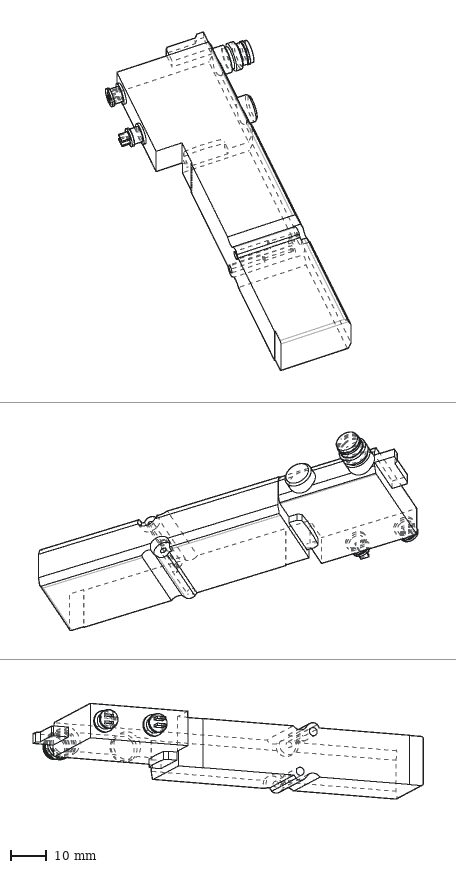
import cadquery as cq
import math


block_length = 29.1
block_height = 9.8
block_top = block_height / 2
block_back = 28.4
block_bevel_depth = 0.8
block_bevel_height = 2.2
block_edge_ease = 0.35

body_start = 29.4
body_end = 102.5
body_height = 14.0
body_bottom = block_top - body_height
body_mid = block_top - body_height / 2
body_front = 7.75
body_back = 28.8
body_bevel_depth = 1.0
body_bevel_height = 2.6
body_edge_ease = 0.8
edge_ease_drop = 0.1
body_end_round = 0.7
pad_start = 36.6
pad_end = 98.25
pad_front = 7.5

overall_height = 16.7
boss_radius = 1.95
boss_rise = overall_height / 2 - boss_radius
boss_offset = 1.95
boss_mid_x = 67.55
groove_radius = 2.5
groove_depth = 1.0
boss_flank_angle = math.radians(142)
boss_heel_angle = math.radians(50)
groove_flank_angle = math.radians(-59)
screw_rise = 5.78
screw_hole_diameter = 1.6
screw_bore_diameter = 2.3
screw_bore_depth = 10.0
head_seat_diameter = 5.78
head_seat_y = 26.1

plug_positions = [4.05, 18.75]
pin_plug = plug_positions[1]
socket_plug = plug_positions[0]
plug_flange_diameter = 6.1
plug_flange_end = 0.7
plug_neck_diameter = 4.5
plug_rim_diameter = 5.3
plug_rim_start = 3.3
plug_rim_end = 4.0
blade_width = 2.5
blade_thickness = 0.65
blade_offset = 1.0
blade_tip = 6.5
slot_depth = 2.5
rear_connector_x = 4.05
button_x = 22.1
button_diameter = 8.0
button_top_diameter = 6.9
button_back = 31.8
button_chamfer_height = 0.6
embed = 2.0

tab_reach = 6.0
tab_web_reach = 4.95
tab_front = 16.6
tab_slope_start = 25.5
tab_slope_end = 26.4
tab_thickness = 2.8
tab_corner = 0.5

latch_left = 25.4
latch_shoulder = 26.9
latch_end_front = 9.1
latch_end_back = 21.4
latch_nose_inset = 0.65
latch_nose_bulge = 0.3
latch_bottom = -7.2


def box(x0, x1, y0, y1, z0, z1):
    return cq.Workplane("XY").box(x1 - x0, y1 - y0, z1 - z0, centered=False).translate((x0, y0, z0))


def beveled_bar(x0, x1, front, back, bottom, top, bevel_depth, bevel_height, edge_ease):
    """Bar along X whose rear face slopes inward at its top and bottom, with slightly eased edges."""
    bevel_start = back - bevel_depth
    outline = [
        (front, bottom),
        (bevel_start - edge_ease, bottom),
        (bevel_start, bottom + edge_ease_drop),
        (back, bottom + bevel_height),
        (back, top - bevel_height),
        (bevel_start, top - edge_ease_drop),
        (bevel_start - edge_ease, top),
        (front, top),
    ]
    return cq.Workplane("YZ").workplane(offset=x0).polyline(outline).close().extrude(x1 - x0)


def turned(x, y_start, direction, profile):
    """Solid of revolution about a Y axis at (x, 0); profile lists (radius, distance along Y)."""
    outline = [(0, profile[0][1])] + profile + [(0, profile[-1][1])]
    placed = [(x + radius, y_start + direction * distance) for radius, distance in outline]
    return cq.Workplane("XY").polyline(placed).close().revolve(360, (x, 0, 0), (x, 1, 0))


def cylinder_y(x, z, diameter, y0, y1):
    return cq.Workplane("XZ", origin=(x, y0, z)).circle(diameter / 2).extrude(y0 - y1)


def body_outline():
    """XZ outline of the body; the lower half is the upper half turned by 180 degrees."""
    boss_x = boss_mid_x + boss_offset
    boss_z = body_mid + boss_rise
    groove_x = boss_mid_x - boss_offset
    groove_z = block_top - groove_depth + groove_radius
    groove_half_width = math.sqrt(groove_radius**2 - (groove_z - block_top) ** 2)
    boss_half_width = math.sqrt(boss_radius**2 - (block_top - boss_z) ** 2)

    def on_boss(angle):
        return (boss_x + boss_radius * math.cos(angle), boss_z + boss_radius * math.sin(angle))

    def on_groove(angle):
        return (groove_x + groove_radius * math.cos(angle), groove_z + groove_radius * math.sin(angle))

    groove_start = (groove_x - groove_half_width, block_top)
    boss_finish = (boss_x + boss_half_width, block_top)

    def turn(point):
        return (2 * boss_mid_x - point[0], 2 * body_mid - point[1])

    def same(point):
        return point

    outline = cq.Workplane("XZ", origin=(0, pad_front, 0)).moveTo(body_start, block_top)
    for place, far_end in ((same, (body_end, block_top)), (turn, (body_start, body_bottom))):
        outline = outline.lineTo(*place(groove_start))
        outline = outline.threePointArc(place(on_groove(-math.pi / 2)), place(on_groove(groove_flank_angle)))
        outline = outline.lineTo(*place(on_boss(boss_flank_angle)))
        outline = outline.threePointArc(place(on_boss(math.pi / 2)), place(on_boss(boss_heel_angle)))
        outline = outline.lineTo(*place(boss_finish))
        outline = outline.lineTo(*far_end)
        if place is same:
            outline = outline.lineTo(body_end, body_bottom)
    return outline.close()


def make_body():
    body = body_outline().extrude(pad_front - body_back)
    envelope = beveled_bar(body_start, body_end, pad_front, body_back, body_bottom, block_top,
                           body_bevel_depth, body_bevel_height, body_edge_ease)
    boss_reach = box(body_start, body_end, pad_front, head_seat_y,
                     body_mid - overall_height / 2, body_mid + overall_height / 2)
    body = body.intersect(envelope.union(boss_reach))
    for x0, x1 in ((body_start, pad_start), (pad_end, body_end)):
        body = body.cut(box(x0, x1, pad_front, body_front, body_bottom, block_top))
    return body.faces(">X").edges("|Y").fillet(body_end_round)


def cut_screw_holes(body):
    """Stepped screw holes through both bosses, with round head seats open to the rear."""
    for side in (1, -1):
        x = boss_mid_x + side * boss_offset
        z = body_mid + side * screw_rise
        body = body.cut(cylinder_y(x, z, screw_hole_diameter, pad_front, body_back))
        body = body.cut(cylinder_y(x, z, screw_bore_diameter, pad_front, pad_front + screw_bore_depth))
        body = body.cut(cylinder_y(x, z, head_seat_diameter, head_seat_y, body_back))
    return body


def make_tab():
    outline = [
        (embed, tab_front),
        (-tab_web_reach + tab_corner, tab_front),
        (-tab_web_reach, tab_front + tab_corner),
        (-tab_web_reach, tab_slope_start),
        (-tab_reach, tab_slope_end),
        (-tab_reach, block_back),
        (embed, block_back),
    ]
    return cq.Workplane("XY").polyline(outline).close().extrude(tab_thickness / 2, both=True)


def make_latch():
    nose_front = latch_end_front + latch_nose_inset
    nose_back = latch_end_back - latch_nose_inset
    nose_mid = (nose_front + nose_back) / 2
    right = body_start + embed
    outline = (
        cq.Workplane("XY", origin=(0, 0, latch_bottom))
        .moveTo(right, latch_end_front)
        .lineTo(latch_shoulder, latch_end_front)
        .lineTo(latch_left + latch_nose_bulge, nose_front)
        .threePointArc((latch_left, nose_mid), (latch_left + latch_nose_bulge, nose_back))
        .lineTo(latch_shoulder, latch_end_back)
        .lineTo(right, latch_end_back)
        .close()
    )
    return outline.extrude(-latch_bottom)


def make_plug(x):
    flange, neck, rim = plug_flange_diameter / 2, plug_neck_diameter / 2, plug_rim_diameter / 2
    return turned(x, 0, -1, [
        (flange, -embed),
        (flange, plug_flange_end),
        (neck, plug_flange_end),
        (neck, plug_rim_start),
        (rim, plug_rim_start),
        (rim, plug_rim_end),
    ])


def blades(x, y0, y1):
    """Pair of flat contacts, one above and one below the plug axis."""
    pair = cq.Workplane("XY")
    for z in (blade_offset, -blade_offset):
        pair = pair.add(box(x - blade_width / 2, x + blade_width / 2, y0, y1,
                            z - blade_thickness / 2, z + blade_thickness / 2))
    return pair.combine()


def make_rear_connector():
    base = 8.0 / 2
    neck = 6.5 / 2
    ring = 8.1 / 2
    groove = 6.47 / 2
    lip = 6.9 / 2
    end = 6.5 / 2
    base_end = 3.0
    ring_start = 4.0
    ring_full = 4.3
    ring_fade = 6.1
    ring_end = 6.5
    lip_start = 7.9
    lip_full = 8.1
    lip_end = 8.7
    tip = 9.8
    return turned(rear_connector_x, block_back, 1, [
        (base, -embed),
        (base, base_end),
        (neck, base_end),
        (neck, ring_start),
        (ring, ring_full),
        (ring, ring_fade),
        (lip, ring_end),
        (groove, ring_end),
        (groove, lip_start),
        (lip, lip_full),
        (lip, lip_end),
        (end, lip_end),
        (end, tip),
    ])


def make_button():
    height = button_back - block_back
    return turned(button_x, block_back, 1, [
        (button_diameter / 2, -embed),
        (button_diameter / 2, height - button_chamfer_height),
        (button_top_diameter / 2, height),
    ])


block = beveled_bar(0, block_length, 0, block_back, -block_top, block_top,
                    block_bevel_depth, block_bevel_height, block_edge_ease)
joint = beveled_bar(block_length, body_start, body_front, block_back, -block_top, block_top,
                    block_bevel_depth, block_bevel_height, block_edge_ease)
result = cut_screw_holes(make_body()).union(block).union(joint)
result = result.union(make_tab()).union(make_latch())
for plug_x in plug_positions:
    result = result.union(make_plug(plug_x))
result = result.union(blades(pin_plug, -blade_tip, -plug_rim_start))
result = result.cut(blades(socket_plug, -plug_rim_end, -plug_rim_end + slot_depth))
result = result.union(make_rear_connector()).union(make_button())